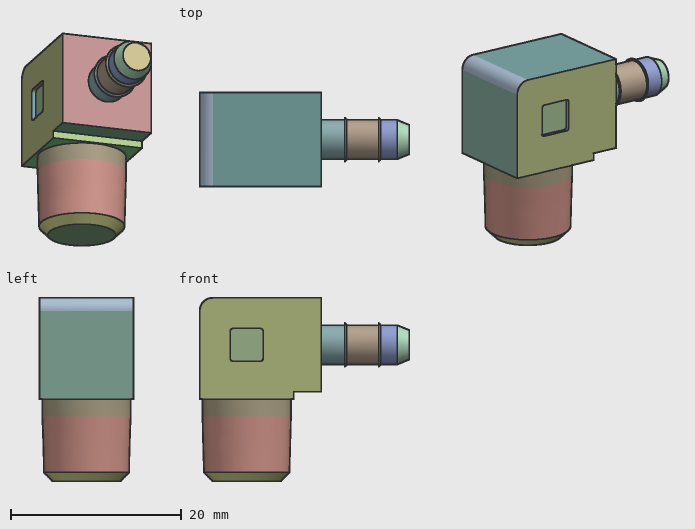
import cadquery as cq


body_width = 11.05
body_half = body_width / 2
body_length = 14.29
foot_height = 0.85
corner_radius = 1.55

overall_height = 21.53
stem_diameter = 10.41
stem_end_diameter = 10.05
stem_straight_length = 2.0
stem_chamfer = 1.05

overall_length = 24.6
tail_diameter = 4.65
tail_tip_diameter = 3.45
tail_tip_length = 1.45
barb_diameter = 5.15
barb_length = 0.25
first_barb_offset = 2.74
barb_pitch = 3.96
barb_count = 2

panel_size = 3.86
panel_depth = 0.5
panel_corner_radius = 0.35

left_x = -body_half
body_right_x = left_x + body_length
tail_end_x = left_x + overall_length
top_z = body_half
foot_z = -body_half - foot_height
stem_bottom_z = top_z - overall_height


def make_body():
    """Block with a square foot under the stem side and one rounded top edge."""
    block = (
        cq.Workplane("XY")
        .box(body_length, body_width, body_width, centered=(False, True, True))
        .translate((left_x, 0, 0))
    )
    foot = (
        cq.Workplane("XY")
        .workplane(offset=foot_z)
        .rect(body_width, body_width)
        .extrude(foot_height)
    )
    return block.union(foot).edges("|Y and <X and >Z").fillet(corner_radius)


def make_stem():
    """Straight neck, slight taper and chamfered end, revolved about Z."""
    neck_radius = stem_diameter / 2
    end_radius = stem_end_diameter / 2
    return (
        cq.Workplane("XZ")
        .moveTo(0, 0)
        .lineTo(neck_radius, 0)
        .lineTo(neck_radius, foot_z - stem_straight_length)
        .lineTo(end_radius, stem_bottom_z + stem_chamfer)
        .lineTo(end_radius - stem_chamfer, stem_bottom_z)
        .lineTo(0, stem_bottom_z)
        .close()
        .revolve(360, (0, 0), (0, 1))
    )


def make_tail():
    """Hose tail with sawtooth barbs and a conical tip, revolved about X."""
    tail_radius = tail_diameter / 2
    profile = cq.Workplane("XZ").moveTo(0, 0).lineTo(0, tail_radius)
    for index in range(barb_count):
        barb_x = body_right_x + first_barb_offset + index * barb_pitch
        profile = (
            profile.lineTo(barb_x, tail_radius)
            .lineTo(barb_x, barb_diameter / 2)
            .lineTo(barb_x + barb_length, tail_radius)
        )
    return (
        profile.lineTo(tail_end_x - tail_tip_length, tail_radius)
        .lineTo(tail_end_x, tail_tip_diameter / 2)
        .lineTo(tail_end_x, 0)
        .close()
        .revolve(360, (0, 0), (1, 0))
    )


def make_panel_recess():
    """Rounded square pocket volume, centred on the stem and tail axes in the -Y face."""
    return (
        cq.Workplane("XZ", origin=(0, -body_half + panel_depth, 0))
        .rect(panel_size, panel_size)
        .extrude(panel_depth)
        .edges("|Y")
        .fillet(panel_corner_radius)
    )


result = make_body().union(make_stem()).union(make_tail()).cut(make_panel_recess())